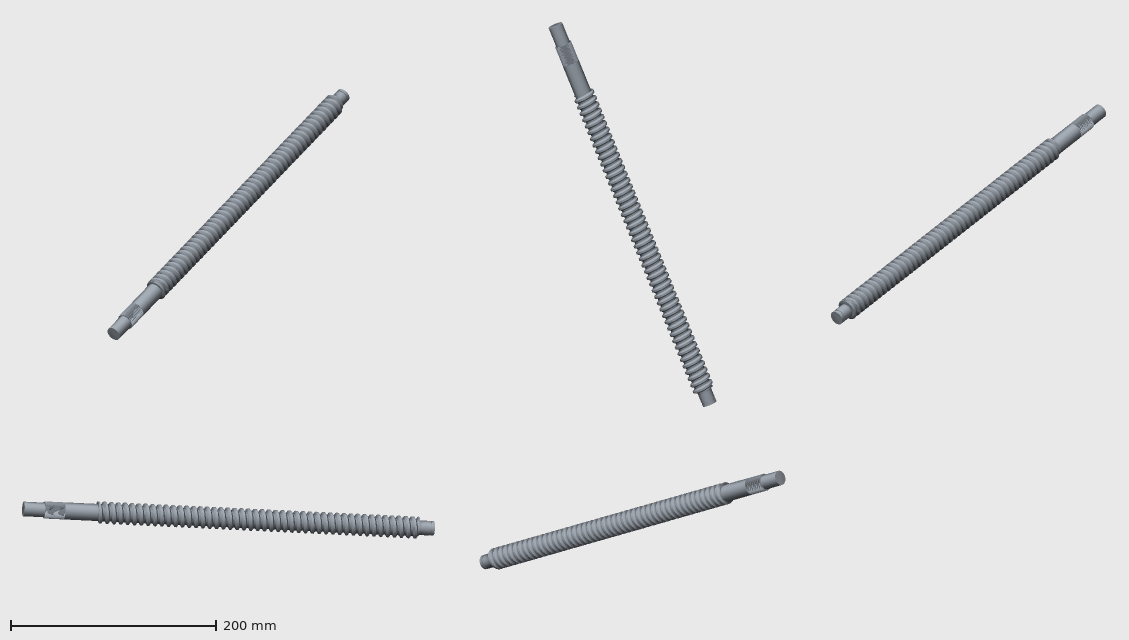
import cadquery as cq
import math

SHAFT_LENGTH = 407.5
JOURNAL_DIAMETER = 14.3
BODY_DIAMETER = 16.7

THREAD_START = 15.0
THREAD_END = 334.0
SERRATION_START = 367.0
SERRATION_END = 387.0

THREAD_DIAMETER = 21.5
TURNS_COUNTED = 25
COUNTED_LENGTH = 170.0
CREST_WIDTH = 2.0
ROOT_WIDTH = 1.5
FIRST_CREST = 20.0
THREAD_OVERLAP = 0.5
OVERRUN_TURNS = 2

SERRATION_COUNT = 48
SERRATION_DEPTH = 0.6

GROOVE_OFFSET = 3.0
GROOVE_WIDTH = 1.2
GROOVE_DIAMETER = 13.0

TOP_Y = SHAFT_LENGTH / 2
THREAD_PITCH = COUNTED_LENGTH / TURNS_COUNTED


def section_plane(distance):
    """Plane across the shaft at a distance from the +Y end, facing -Y."""
    return cq.Plane(origin=(0, TOP_Y - distance, 0), xDir=(1, 0, 0), normal=(0, -1, 0))


def cylinder(diameter, start, end):
    """Cylinder on the Y axis between two distances from the +Y end."""
    return cq.Workplane(section_plane(start)).circle(diameter / 2).extrude(end - start)


def thread_ridge():
    """Helical ridge running past both thread ends, so that it can be trimmed square."""
    core_radius = BODY_DIAMETER / 2
    crest_radius = THREAD_DIAMETER / 2
    half_crest = CREST_WIDTH / 2
    half_root = (THREAD_PITCH - ROOT_WIDTH) / 2

    flank_slope = (half_root - half_crest) / (crest_radius - core_radius)
    base_radius = core_radius - THREAD_OVERLAP
    half_base = half_root + THREAD_OVERLAP * flank_slope
    profile = cq.Workplane("XZ").polyline([
        (base_radius, -half_base),
        (crest_radius, -half_crest),
        (crest_radius, half_crest),
        (base_radius, half_base),
    ]).close()

    overrun = OVERRUN_TURNS * THREAD_PITCH
    helix_length = THREAD_END - THREAD_START + 2 * overrun
    helix = cq.Wire.makeHelix(THREAD_PITCH, helix_length, core_radius)
    ridge = profile.sweep(cq.Workplane(obj=helix), isFrenet=True)

    ridge_start = TOP_Y - FIRST_CREST + overrun
    return ridge.rotate((0, 0, 0), (1, 0, 0), 90).translate((0, ridge_start, 0))


def thread():
    """Ridge trimmed square at both ends of the thread."""
    envelope = cylinder(THREAD_DIAMETER + 4, THREAD_START, THREAD_END)
    return thread_ridge().intersect(envelope)


def serrated_band():
    """Body band with straight V grooves all round it."""
    outer_radius = BODY_DIAMETER / 2
    inner_radius = outer_radius - SERRATION_DEPTH
    half_step = math.pi / SERRATION_COUNT
    points = []
    for i in range(2 * SERRATION_COUNT):
        radius = outer_radius if i % 2 == 0 else inner_radius
        angle = i * half_step
        points.append((radius * math.cos(angle), radius * math.sin(angle)))
    outline = cq.Workplane(section_plane(SERRATION_START)).polyline(points).close()
    return outline.extrude(SERRATION_END - SERRATION_START)


def retaining_groove():
    """Ring of material removed from the +Y journal."""
    groove_end = GROOVE_OFFSET + GROOVE_WIDTH
    ring = cylinder(BODY_DIAMETER, GROOVE_OFFSET, groove_end)
    return ring.cut(cylinder(GROOVE_DIAMETER, GROOVE_OFFSET, groove_end))


shaft = cylinder(JOURNAL_DIAMETER, 0, SHAFT_LENGTH)
shaft = shaft.union(cylinder(BODY_DIAMETER, THREAD_START, SERRATION_START))
shaft = shaft.union(serrated_band())
shaft = shaft.cut(retaining_groove())

result = shaft.union(thread(), clean=False)